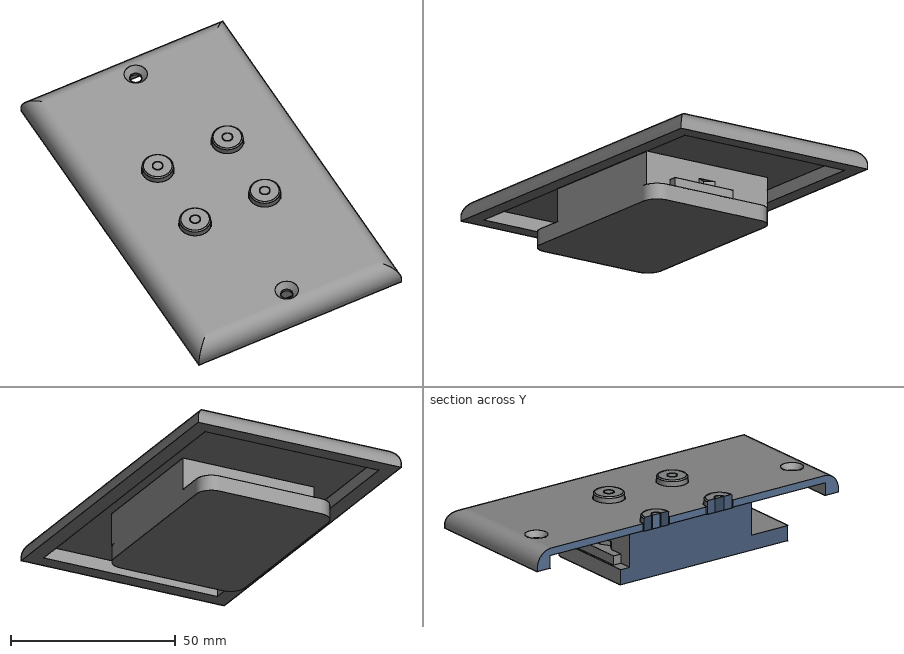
import cadquery as cq
import math

total_height = 20.0
plate_top = 18.1
plate_bottom = 11.4
tray_top = 5.0
connector_top = 8.0
notch_top = 10.5

plate_length = 114.3
plate_width = 69.8
rim_height = 1.6
bezel_width = 5.0
bezel_radius = 5.5
face_thickness = 2.5
cavity_top = plate_top - face_thickness
button_hole_dia = 10.0

screw_offset = 48.5
screw_hole_dia = 3.7
countersink_dia = 7.1
countersink_angle = 90

button_pitch = 24.0
button_dia = 9.5
button_bevel = 0.4
bore_dia = 3.3
pin_dia = 3.2
pin_tip_dia = 3.0

base_width = 45.1
tray_left = -25.6
tray_right = 38.0
tray_corner_radius = 5.0
housing_left = -22.2
housing_right = 24.1
connector_left = -24.9
connector_front = -7.7
connector_back = 14.0

notch_width = 6.0
notch_wall_angle = 30
notch_depth = notch_width / 2 * math.tan(math.radians(notch_wall_angle))

button_spots = [
    (x_side * button_pitch / 2, y_side * button_pitch / 2)
    for x_side in (-1, 1)
    for y_side in (-1, 1)
]


def block(x_limits, y_limits, z_limits):
    """Rectangular block between the given (low, high) limits."""
    corner, size = zip(*((low, high - low) for low, high in (x_limits, y_limits, z_limits)))
    return cq.Workplane("XY").box(*size, centered=False).translate(corner)


def bezel_prism(plane, width, length):
    """Prism of the plate's cross-section, whose two upper corners are rounded off by bezel arcs."""
    half_width = width / 2
    half_face = half_width - bezel_width
    rim_top = plate_bottom + rim_height
    return (
        cq.Workplane(plane)
        .moveTo(-half_width, plate_bottom)
        .lineTo(half_width, plate_bottom)
        .lineTo(half_width, rim_top)
        .radiusArc((half_face, plate_top), -bezel_radius)
        .lineTo(-half_face, plate_top)
        .radiusArc((-half_width, rim_top), -bezel_radius)
        .close()
        .extrude(length / 2, both=True)
    )


def make_plate():
    """Hollow face plate with mitred bezels, button holes and countersunk screw holes."""
    plate = bezel_prism("XZ", plate_length, plate_width).intersect(
        bezel_prism("YZ", plate_width, plate_length)
    )
    half_cavity_length = plate_length / 2 - bezel_width
    half_cavity_width = plate_width / 2 - bezel_width
    cavity = block(
        (-half_cavity_length, half_cavity_length),
        (-half_cavity_width, half_cavity_width),
        (plate_bottom, cavity_top),
    )
    face = plate.cut(cavity).faces(">Z").workplane(origin=(0, 0, plate_top))
    drilled = face.pushPoints(button_spots).hole(button_hole_dia)
    return (
        drilled.faces(">Z").workplane(origin=(0, 0, plate_top))
        .pushPoints([(-screw_offset, 0), (screw_offset, 0)])
        .cskHole(screw_hole_dia, countersink_dia, countersink_angle)
    )


def make_button(x, y):
    """Button with a bevelled rim and a through bore, standing on the housing."""
    return (
        cq.Workplane("XY", origin=(x, y, cavity_top))
        .circle(button_dia / 2)
        .extrude(total_height - cavity_top)
        .faces(">Z").chamfer(button_bevel)
        .faces(">Z").workplane().hole(bore_dia)
    )


def make_pin(x, y):
    """Pin with a bevelled tip, standing on the housing inside the bore of a button."""
    return (
        cq.Workplane("XY", origin=(x, y, cavity_top))
        .circle(pin_dia / 2)
        .extrude(total_height - cavity_top)
        .faces(">Z").chamfer((pin_dia - pin_tip_dia) / 2)
    )


def make_base():
    """Round-cornered tray with a notched housing and a connector block on top."""
    side_limits = (-base_width / 2, base_width / 2)
    tray = block((tray_left, tray_right), side_limits, (0, tray_top))
    tray = tray.edges("|Z").fillet(tray_corner_radius)

    housing = block((housing_left, housing_right), side_limits, (tray_top, cavity_top))
    notch = (
        cq.Workplane("XY", origin=(housing_left, 0, connector_top))
        .polyline([(0, -notch_width / 2), (notch_depth, 0), (0, notch_width / 2)])
        .close()
        .extrude(notch_top - connector_top)
    )
    connector = block(
        (connector_left, housing_left),
        (connector_front, connector_back),
        (tray_top, connector_top),
    )
    return tray.union(housing.cut(notch), clean=False).union(connector, clean=False)


plate = make_plate()
base = make_base()
buttons = [make_button(x, y) for x, y in button_spots]
pins = [make_pin(x, y) for x, y in button_spots]

result = cq.Compound.makeCompound(
    [
        plate.solids().val(),
        base.solids().val(),
        *[button.solids().val() for button in buttons],
        *[pin.solids().val() for pin in pins],
    ]
)